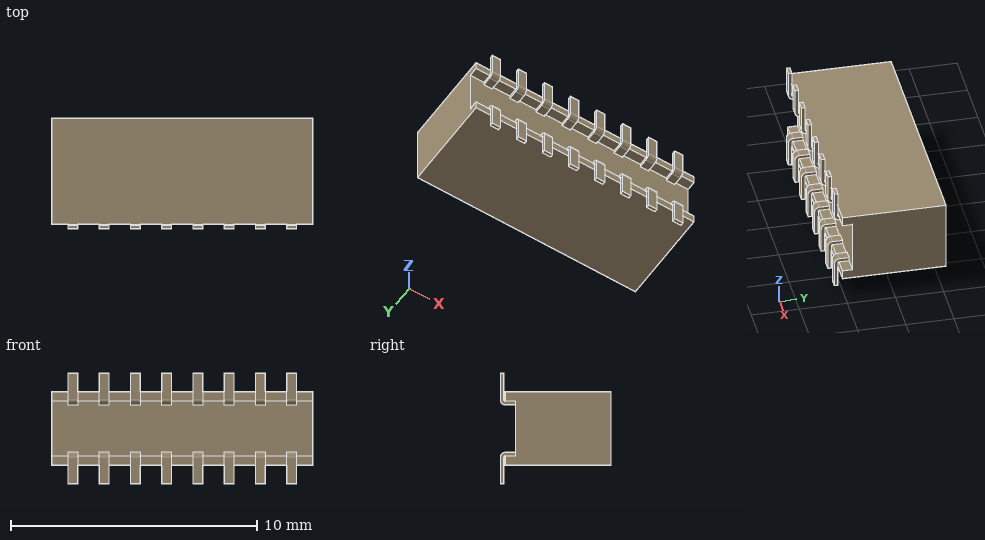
import cadquery as cq

body_length = 10.62
overall_depth = 4.5
overall_height = 4.5

body_height = 3.0
body_depth = 4.31
channel_depth = 0.42
channel_height = 2.22

leads_per_row = 8
lead_row_span = 8.89
lead_width = 0.4
lead_thickness = 0.15
bend_outer_radius = 0.2
bend_inner_radius = bend_outer_radius - lead_thickness

body_front = overall_depth - body_depth
lead_pitch = lead_row_span / (leads_per_row - 1)
channel_floor = body_front + channel_depth
channel_wall = channel_height / 2
lead_tip = overall_height / 2


def make_body():
    block = cq.Workplane("XY").box(body_length, body_depth, body_height, centered=(True, False, True))
    channel = cq.Workplane("XY").box(
        body_length, channel_depth, channel_height, centered=(True, False, True)
    )
    return block.cut(channel).translate((0, body_front, 0))


def make_upper_lead(x_center):
    """L-shaped lead: its foot lies on the upper channel wall, its leg rises in front of the body."""
    foot_face = channel_wall - lead_thickness
    lead = (
        cq.Workplane("YZ")
        .moveTo(channel_floor, channel_wall)
        .lineTo(channel_floor, foot_face)
        .lineTo(bend_outer_radius, foot_face)
        .radiusArc((0, foot_face + bend_outer_radius), bend_outer_radius)
        .lineTo(0, lead_tip)
        .lineTo(lead_thickness, lead_tip)
        .lineTo(lead_thickness, channel_wall + bend_inner_radius)
        .radiusArc((bend_outer_radius, channel_wall), -bend_inner_radius)
        .close()
        .extrude(lead_width / 2, both=True)
    )
    return lead.translate((x_center, 0, 0))


result = make_body()
for index in range(leads_per_row):
    lead_x = (index - (leads_per_row - 1) / 2) * lead_pitch
    upper_lead = make_upper_lead(lead_x)
    lower_lead = upper_lead.mirror("XY")
    result = result.union(upper_lead).union(lower_lead)